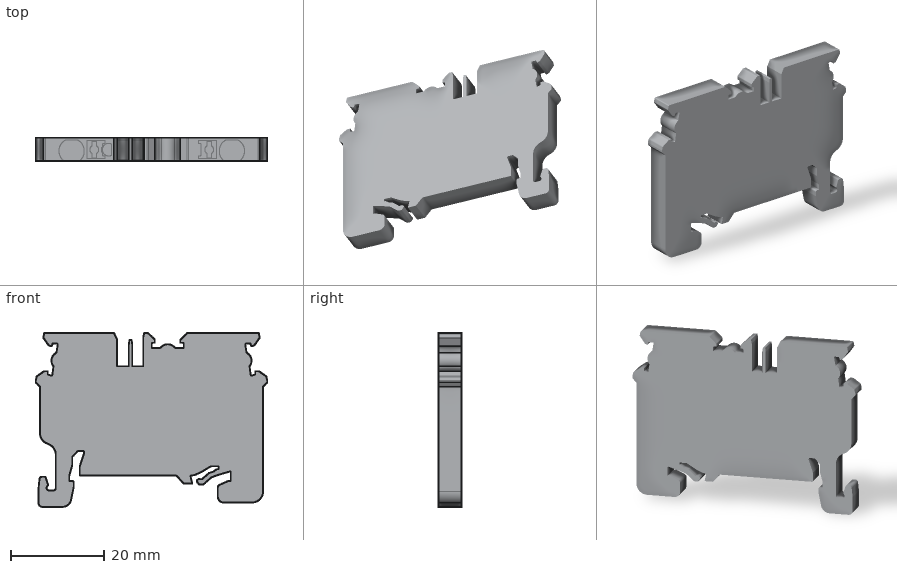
import cadquery as cq
import math

THICKNESS = 5.0
HEIGHT = 37.4
HALF_LENGTH = 24.87
BODY_HALF_LENGTH = 23.97

LATCH_BASE_Z = 25.8
LATCH_ROOT_X = 19.5
RAIL_Z = 6.73
RIGHT_FOOT_Z = 0.95
CLIP_LEDGE_Z = 5.6

END_BULGE_X = 19.59
END_BULGE_Z = 31.4
END_BULGE_RADIUS = 1.9

SLOT_LEFT_X = -7.37
SLOT_RIGHT_X = -1.78
SLOT_FLOOR_Z = 30.26
SLOT_CHAMFER_WIDTH = 0.7
SLOT_CHAMFER_DEPTH = 1.4
SLOT_LEAD_WIDTH = 0.2
SLOT_LEAD_DEPTH = 0.85
FIN_X = -4.5
FIN_WIDTH = 0.78
FIN_TOP_WIDTH = 0.5
FIN_TOP_Z = 35.85
FIN_TAPER_Z = 34.95
FIN_ROUND = 0.15

GROOVE_X = 3.49
GROOVE_HALF_WIDTH = 3.41
GROOVE_FLOOR_Z = 34.14
GROOVE_LIP_Z = 35.23
GROOVE_CORNER_RADIUS = 0.25
GROOVE_MOUTH_RADIUS = 0.4
GROOVE_CLEARANCE = 1.3
GROOVE_LIP_LEFT_X = 0.7
GROOVE_LIP_RIGHT_X = 6.13
GROOVE_MOUTH_LEFT_X = -0.82
GROOVE_MOUTH_RIGHT_X = 7.72
GROOVE_LEFT_BEVEL_Z = 36.0
GROOVE_RIGHT_BEVEL_Z = 35.85
DOME_HALF_WIDTH = 1.6
DOME_HEIGHT = 0.81
DOME_FOOT_RADIUS = 0.7

INLAY_DEPTH = 0.5
INLAY_HALF_WIDTH = 2.1
SCREW_X = 17.2
SCREW_Y = -0.3
SCREW_RADIUS = 2.71
FRONT_MARGIN = 0.1
WINDOW_OUTER_X = 13.9
WINDOW_INNER_X = 10.0
WINDOW_HALF_WIDTH = 1.94
WINDOW_NOTCH_X = 10.62
WINDOW_NOTCH_HALF_WIDTH = 1.32
WINDOW_NOTCH_RADIUS = 0.25
KEYHOLE_X = 12.33
KEYHOLE_RADIUS = 0.95
KEYHOLE_NECK_WIDTH = 0.93
KEYHOLE_LENGTH = 3.6
FUNNEL_X = -9.25
FUNNEL_RADIUS = 1.36
FUNNEL_FLAT_X = -8.6
FUNNEL_TAB_X = -10.75
FUNNEL_TAB_WIDTH = 1.0


def corner_tangents(before, corner, after, radius):
    """Start, middle and end points of the arc that rounds a corner with the given radius."""
    into = cq.Vector(before[0] - corner[0], before[1] - corner[1]).normalized()
    away = cq.Vector(after[0] - corner[0], after[1] - corner[1]).normalized()
    half_angle = into.getAngle(away) / 2
    point = cq.Vector(corner[0], corner[1])
    setback = radius / math.tan(half_angle)
    centre_distance = radius / math.sin(half_angle)
    middle = point + (into + away).normalized() * (centre_distance - radius)
    return [(v.x, v.y) for v in (point + into * setback, middle, point + away * setback)]


def rounded_prism(corners):
    """Full-thickness prism over (x, z) corners; a third value rounds that corner."""
    path = None
    for index, corner in enumerate(corners):
        before = corners[index - 1]
        after = corners[(index + 1) % len(corners)]
        if len(corner) == 3:
            start, middle, end = corner_tangents(before, corner, after, corner[2])
        else:
            start = corner
        if path is None:
            path = cq.Workplane("XZ").moveTo(*start)
        else:
            path = path.lineTo(*start)
        if len(corner) == 3:
            path = path.threePointArc(middle, end)
    return path.close().extrude(THICKNESS / 2, both=True)


def cross_rod(x, z, radius):
    """Full-thickness cylinder along Y."""
    return cq.Workplane("XZ").center(x, z).circle(radius).extrude(THICKNESS / 2, both=True)


def left_shoulder_and_foot():
    """Corners from the left side round the fixed hook up to the slit beside it."""
    leg_x = -20.55
    foot_x = -24.27
    return [
        (-BODY_HALF_LENGTH, LATCH_BASE_Z),
        (-BODY_HALF_LENGTH, 14.27, 2.45),
        (leg_x, 12.83, 2.5),
        (leg_x, 3.59, 0.45),
        (-22.5, 3.59, 0.5),
        (-22.5, 4.2, 0.15),
        (-22.17, 4.75, 0.1),
        (-22.74, 6.53, 0.35),
        (-24.0, 6.53, 0.6),
        (foot_x, 4.05),
        (foot_x, 0, 0.9),
        (-17.55, 0, 1.95),
        (-16.67, 4.29),
        (-16.67, CLIP_LEDGE_Z, 0.35),
        (-17.6, CLIP_LEDGE_Z),
        (-17.6, 6.77),
        (-16.98, 9.0),
        (-16.98, 10.8),
        (-15.8, 12.0, 0.4),
        (-14.35, 12.0, 0.3),
        (-15.4, 8.8),
        (-15.4, RAIL_Z, 0.22),
    ]


def spring_clip_and_right_foot():
    """Corners from the rail edge round the spring tongue and the right foot."""
    catch_z = 5.01
    tongue_root_x = 16.98
    toe_x = 14.19
    return [
        (5.35, RAIL_Z, 0.4),
        (6.9, catch_z),
        (8.76, catch_z),
        (8.38, 6.7, 0.15),
        (9.3, 6.85),
        (10.7, 7.5),
        (12.75, 8.72, 0.4),
        (14.4, 8.72, 0.15),
        (14.4, 8.16, 0.1),
        (14.0, 8.16),
        (13.34, 7.65),
        (12.33, 7.31),
        (10.78, 5.96, 0.2),
        (10.12, 6.05, 0.25),
        (9.62, 5.6, 0.25),
        (10.2, 4.8, 0.3),
        (11.1, 4.8, 0.5),
        (12.87, 6.35, 0.5),
        (14.3, 6.87),
        (tongue_root_x, 7.65, 0.1),
        (tongue_root_x, CLIP_LEDGE_Z),
        (16.44, CLIP_LEDGE_Z),
        (toe_x, 4.6, 0.7),
        (toe_x, RIGHT_FOOT_Z, 1.3),
        (BODY_HALF_LENGTH, RIGHT_FOOT_Z, 2.4),
        (BODY_HALF_LENGTH, LATCH_BASE_Z),
    ]


def end_latch():
    """Left end: two facing lips with the grip bulge between them."""
    lip_z = 29.18
    upper_pocket_z = 35.07
    latch = rounded_prism([
        (-LATCH_ROOT_X, HEIGHT),
        (-23.03, HEIGHT, 0.25),
        (-23.25, 36.35, 0.3),
        (-22.1, 34.7, 0.3),
        (-21.45, 34.4, 0.15),
        (-21.2, upper_pocket_z),
        (-20.1, upper_pocket_z, 0.2),
        (-20.43, 33.2),
        (-20.6, 32.0),
        (-21.05, 30.3),
        (-21.12, 29.7),
        (-21.33, 28.2, 0.2),
        (-22.26, 28.45),
        (-22.26, lip_z),
        (-23.03, lip_z),
        (-24.65, 28.05, 0.4),
        (-HALF_LENGTH, 27.2),
        (-HALF_LENGTH, 26.75),
        (-BODY_HALF_LENGTH, LATCH_BASE_Z),
        (-LATCH_ROOT_X, LATCH_BASE_Z),
    ])
    return latch.union(cross_rod(-END_BULGE_X, END_BULGE_Z, END_BULGE_RADIUS))


def jumper_slot():
    """Cutter for the jumper slot, with its chamfered left mouth."""
    return rounded_prism([
        (SLOT_LEFT_X, SLOT_FLOOR_Z),
        (SLOT_LEFT_X, HEIGHT - SLOT_CHAMFER_DEPTH),
        (SLOT_LEFT_X - SLOT_CHAMFER_WIDTH, HEIGHT),
        (SLOT_RIGHT_X + SLOT_LEAD_WIDTH, HEIGHT),
        (SLOT_RIGHT_X, HEIGHT - SLOT_LEAD_DEPTH),
        (SLOT_RIGHT_X, SLOT_FLOOR_Z),
    ])


def slot_fin():
    """Thin wall that stands in the middle of the jumper slot."""
    return rounded_prism([
        (FIN_X - FIN_WIDTH / 2, SLOT_FLOOR_Z),
        (FIN_X - FIN_WIDTH / 2, FIN_TAPER_Z),
        (FIN_X - FIN_TOP_WIDTH / 2, FIN_TOP_Z, FIN_ROUND),
        (FIN_X + FIN_TOP_WIDTH / 2, FIN_TOP_Z, FIN_ROUND),
        (FIN_X + FIN_WIDTH / 2, FIN_TAPER_Z),
        (FIN_X + FIN_WIDTH / 2, SLOT_FLOOR_Z),
    ])


def marker_groove():
    """Cutter for the undercut marker groove; it leaves the dome on the floor."""
    left_x = GROOVE_X - GROOVE_HALF_WIDTH
    right_x = GROOVE_X + GROOVE_HALF_WIDTH
    dome_apex_z = GROOVE_FLOOR_Z + DOME_HALF_WIDTH
    dome_radius = (DOME_HALF_WIDTH - DOME_HEIGHT) / (math.sqrt(2) - 1)
    return rounded_prism([
        (left_x, GROOVE_FLOOR_Z),
        (left_x, GROOVE_LIP_Z, GROOVE_CORNER_RADIUS),
        (GROOVE_LIP_LEFT_X, GROOVE_LIP_Z),
        (GROOVE_LIP_LEFT_X, GROOVE_LEFT_BEVEL_Z, GROOVE_CORNER_RADIUS),
        (GROOVE_MOUTH_LEFT_X, HEIGHT, GROOVE_MOUTH_RADIUS),
        (left_x - GROOVE_CLEARANCE, HEIGHT),
        (left_x - GROOVE_CLEARANCE, HEIGHT + GROOVE_CLEARANCE),
        (right_x + GROOVE_CLEARANCE, HEIGHT + GROOVE_CLEARANCE),
        (right_x + GROOVE_CLEARANCE, HEIGHT),
        (GROOVE_MOUTH_RIGHT_X, HEIGHT, GROOVE_MOUTH_RADIUS),
        (GROOVE_LIP_RIGHT_X, GROOVE_RIGHT_BEVEL_Z, GROOVE_CORNER_RADIUS),
        (GROOVE_LIP_RIGHT_X, GROOVE_LIP_Z),
        (right_x, GROOVE_LIP_Z, GROOVE_CORNER_RADIUS),
        (right_x, GROOVE_FLOOR_Z),
        (GROOVE_X + DOME_HALF_WIDTH, GROOVE_FLOOR_Z, DOME_FOOT_RADIUS),
        (GROOVE_X, dome_apex_z, dome_radius),
        (GROOVE_X - DOME_HALF_WIDTH, GROOVE_FLOOR_Z, DOME_FOOT_RADIUS),
    ])


def inlay_box(x_from, x_to, y_from, y_to, top_z=HEIGHT):
    """Inlay block whose top face lies at top_z."""
    corner = (x_from, y_from, top_z - INLAY_DEPTH)
    return cq.Workplane("XY").box(x_to - x_from, y_to - y_from, INLAY_DEPTH, centered=False).translate(corner)


def inlay_disc(x, y, radius):
    """Round inlay flush with the top face."""
    disc = cq.Workplane("XY").workplane(offset=HEIGHT - INLAY_DEPTH).center(x, y)
    return disc.circle(radius).extrude(INLAY_DEPTH)


def screw_inlay():
    """Right screw head, cut off along both side walls."""
    strip = inlay_box(
        SCREW_X - SCREW_RADIUS,
        SCREW_X + SCREW_RADIUS,
        FRONT_MARGIN - THICKNESS / 2,
        INLAY_HALF_WIDTH,
    )
    return inlay_disc(SCREW_X, SCREW_Y, SCREW_RADIUS).intersect(strip)


def window_inlay():
    """Right clamp window, notched on its inner side."""
    window = inlay_box(WINDOW_INNER_X, WINDOW_OUTER_X, -WINDOW_HALF_WIDTH, WINDOW_HALF_WIDTH)
    notch = inlay_box(
        2 * WINDOW_INNER_X - WINDOW_NOTCH_X,
        WINDOW_NOTCH_X,
        -WINDOW_NOTCH_HALF_WIDTH,
        WINDOW_NOTCH_HALF_WIDTH,
    )
    return window.cut(notch.edges("|Z").fillet(WINDOW_NOTCH_RADIUS))


def keyhole_inlay():
    """Right keyhole inside the clamp window: a disc crossed by a straight neck."""
    neck = inlay_box(
        KEYHOLE_X - KEYHOLE_NECK_WIDTH / 2,
        KEYHOLE_X + KEYHOLE_NECK_WIDTH / 2,
        -KEYHOLE_LENGTH / 2,
        KEYHOLE_LENGTH / 2,
    )
    return inlay_disc(KEYHOLE_X, 0, KEYHOLE_RADIUS).union(neck)


def funnel_inlay():
    """Round funnel beside the left clamp window, flat on the slot side, with a small tab."""
    limits = inlay_box(FUNNEL_X - FUNNEL_RADIUS, FUNNEL_FLAT_X, -FUNNEL_RADIUS, FUNNEL_RADIUS)
    tab = inlay_box(FUNNEL_TAB_X, FUNNEL_X, -FUNNEL_TAB_WIDTH / 2, FUNNEL_TAB_WIDTH / 2)
    return inlay_disc(FUNNEL_X, 0, FUNNEL_RADIUS).intersect(limits).union(tab)


def housing():
    """Plain terminal block body."""
    lower = rounded_prism(left_shoulder_and_foot() + spring_clip_and_right_foot())
    upper_height = HEIGHT - LATCH_BASE_Z
    upper = cq.Workplane("XY").box(2 * LATCH_ROOT_X, THICKNESS, upper_height, centered=(True, True, False))
    left_end = end_latch()
    body = lower.union(upper.translate((0, 0, LATCH_BASE_Z)))
    body = body.union(left_end).union(left_end.mirror("YZ"))
    return body.cut(jumper_slot()).union(slot_fin()).cut(marker_groove())


def add_inlays(body):
    """Join the inlays flush with the body, keeping their outlines as face borders."""
    inlays = []
    for inlay in (screw_inlay(), window_inlay(), keyhole_inlay()):
        inlays += [inlay, inlay.mirror("YZ")]
    inlays.append(funnel_inlay())
    inlays.append(
        inlay_box(SLOT_LEFT_X, SLOT_RIGHT_X, -INLAY_HALF_WIDTH, INLAY_HALF_WIDTH, SLOT_FLOOR_Z)
    )
    for inlay in inlays:
        body = body.union(inlay, clean=False)
    return body


result = add_inlays(housing())